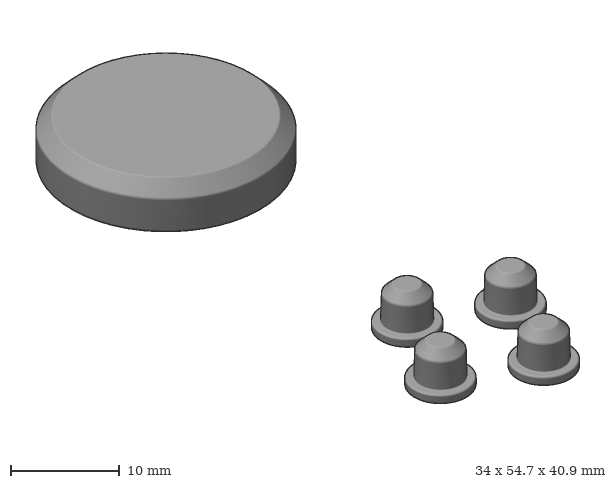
import cadquery as cq

cap_diameter = 24.0
cap_height = 5.2
cap_top_chamfer = 1.5
cap_bevel_fillet = 0.3
cap_bottom_fillet = 0.35

flange_diameter = 6.6
flange_height = 1.0
flange_edge_fillet = 0.2
post_base_diameter = 4.9
post_top_diameter = 4.75
post_height = 3.0
post_base_fillet = 0.1
tip_diameter = 2.75
tip_height = 1.0
tip_edge_fillet = 0.245

pins_per_side = 2
pin_pitch = 10.0
overall_width = 34.0
overall_depth = 54.65
overall_height = 40.9

cap_radius = cap_diameter / 2
flange_radius = flange_diameter / 2
cap_bottom_z = overall_height - cap_height
first_pin_x = cap_radius - overall_width + flange_radius
last_pin_y = overall_depth - cap_radius - flange_radius


def make_cap():
    """Disc with a bevelled top edge, rounded along the bevel and the bottom edge."""
    disc = cq.Workplane("XY").workplane(offset=cap_bottom_z).circle(cap_radius).extrude(cap_height)
    bevelled_disc = disc.faces(">Z").chamfer(cap_top_chamfer)
    rounded_disc = bevelled_disc.faces("<Z").edges().fillet(cap_bottom_fillet)
    bevel_edges = rounded_disc.faces("%CONE").edges("%CIRCLE")
    return bevel_edges.fillet(cap_bevel_fillet)


def make_pin(x, y):
    """One pin: a flange on Z = 0, with a tapered post and a conical tip on top."""
    post_top_z = flange_height + post_height
    tip_top_z = post_top_z + tip_height
    profile = (
        cq.Workplane("XZ")
        .moveTo(0, 0)
        .lineTo(flange_radius, 0)
        .lineTo(flange_radius, flange_height)
        .lineTo(post_base_diameter / 2, flange_height)
        .lineTo(post_top_diameter / 2, post_top_z)
        .lineTo(tip_diameter / 2, tip_top_z)
        .lineTo(0, tip_top_z)
        .close()
    )
    sharp_pin = profile.revolve(360, (0, 0), (0, 1))
    flange_rounded = sharp_pin.faces("%CYLINDER").edges("%CIRCLE").fillet(flange_edge_fillet)
    tip_rounded = flange_rounded.faces("%CONE").faces(">Z").edges("%CIRCLE").fillet(tip_edge_fillet)
    base_rounded = tip_rounded.faces("%CONE").faces("<Z").edges("<Z").fillet(post_base_fillet)
    return base_rounded.translate((x, y, 0))


cap = make_cap()

pins = []
for column in range(pins_per_side):
    for row in range(pins_per_side):
        pin = make_pin(first_pin_x + column * pin_pitch, last_pin_y - row * pin_pitch)
        pins.append(pin.val())

result = cq.Compound.makeCompound([cap.val(), *pins])